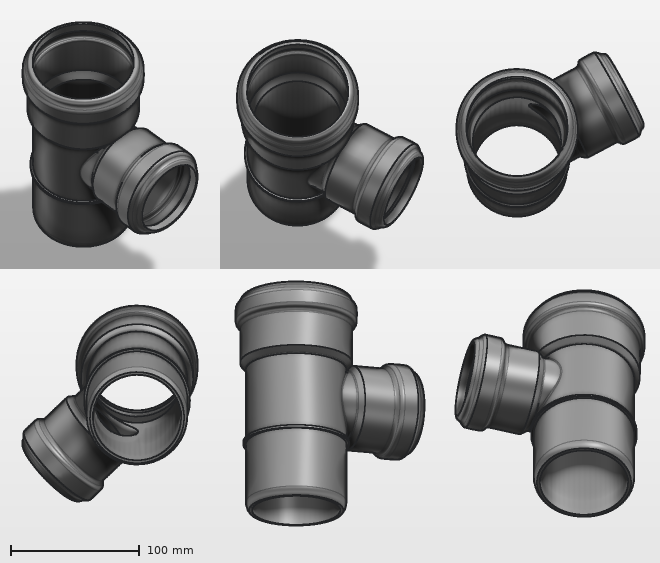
import cadquery as cq
import math

TOTAL_HEIGHT = 174.6
PIPE_RADIUS = 78.4 / 2
PIPE_BORE_RADIUS = 68.6 / 2
SPIGOT_TIP_RADIUS = 36.7
SPIGOT_TIP_HEIGHT = 6.8
SPIGOT_ARC_BULGE = 0.7
SHOULDER_BOTTOM = 115.8
SOCKET_RADIUS = 87.3 / 2
SOCKET_BORE_RADIUS = 78.7 / 2
BEAD_RADIUS = 94.8 / 2
CROWN_DEPTH = 9.0
CROWN_LENGTH = 9.8
LIP_LENGTH = 3.1

RING_RADIUS = 82.4 / 2
RING_BOTTOM = 54.3
RING_THICKNESS = 2.0

BRANCH_TILT = 2.5
BRANCH_AXIS_HEIGHT = 88.0
BRANCH_LENGTH = 95.7
BRANCH_SHOULDER_START = 39.1
NECK_RADIUS = 58.5 / 2
NECK_BORE_RADIUS = 49.5 / 2
BRANCH_SOCKET_RADIUS = 66.2 / 2
BRANCH_SOCKET_BORE_RADIUS = 58.8 / 2
BRANCH_BEAD_RADIUS = 74.5 / 2
BRANCH_CROWN_DEPTH = 8.0
BRANCH_CROWN_LENGTH = 11.5
BRANCH_LIP_LENGTH = 2.6
JUNCTION_FILLET = 1.4
JUNCTION_FILLET_TOP = 111.7

SHOULDER_LENGTH = 5.4
SHOULDER_BLEND_RISE = 0.5
SHOULDER_BLEND_LENGTH = 1.0
BEAD_ROOT_LENGTH = 6.8
CROWN_BULGE = 0.2
BLEND_BULGE = 0.2
GROOVE_STEP = 1.0
GROOVE_UPPER_SLOPE = 3.1
GROOVE_SHELF_OFFSET = 2.1
GROOVE_LOWER_SLOPE = 3.1


def midpoint(first, second, push=0.0):
    """Point halfway between two points, pushed equally along both coordinates."""
    return ((first[0] + second[0]) / 2 + push, (first[1] + second[1]) / 2 + push)


def revolve_about_z(profile):
    return profile.close().revolve(360, (0, 0, 0), (0, 1, 0))


def socket_outside(start_radius, shoulder, socket_radius, bore_radius, bead_radius, crown, lip_length, mouth):
    """Solid about Z: start wall, shoulder, socket wall, bead and rounded lip."""
    crown_start, crown_end = crown
    crown_edge = bead_radius - CROWN_BULGE
    shoulder_blend = (start_radius + SHOULDER_BLEND_RISE, shoulder + SHOULDER_BLEND_LENGTH)
    root = (socket_radius, crown_start - BEAD_ROOT_LENGTH)
    bead_bottom = (crown_edge, crown_start)
    bead_top = (crown_edge, crown_end)
    lip_start = (socket_radius, mouth - lip_length)
    neck_middle = midpoint(bead_top, lip_start)

    wall = socket_radius - bore_radius
    lip_radius = (wall**2 + lip_length**2) / (2 * lip_length)
    half_angle = math.asin(wall / lip_radius) / 2
    lip_middle = (
        bore_radius + lip_radius * math.sin(half_angle),
        mouth - lip_radius * (1 - math.cos(half_angle)),
    )

    profile = (
        cq.Workplane("XZ")
        .lineTo(start_radius, 0)
        .lineTo(start_radius, shoulder)
        .tangentArcPoint(shoulder_blend, relative=False)
        .lineTo(socket_radius, shoulder + SHOULDER_LENGTH)
        .lineTo(*root)
        .tangentArcPoint(midpoint(root, bead_bottom), relative=False)
        .tangentArcPoint(bead_bottom, relative=False)
        .threePointArc((bead_radius, (crown_start + crown_end) / 2), bead_top)
        .threePointArc(midpoint(bead_top, neck_middle, BLEND_BULGE), neck_middle)
        .threePointArc(midpoint(neck_middle, lip_start, -BLEND_BULGE), lip_start)
        .threePointArc(lip_middle, (bore_radius, mouth))
        .lineTo(0, mouth)
    )
    return revolve_about_z(profile)


def socket_inside(start_radius, shoulder, bore_radius, groove_radius, crown, mouth):
    """Cavity about Z: bore, tapered seat, socket bore and the seal groove under the bead."""
    crown_start, crown_end = crown
    groove_top = crown_end + GROOVE_STEP
    shelf_top = (groove_radius, crown_start + GROOVE_SHELF_OFFSET)
    shelf_bottom = (bore_radius, shelf_top[1] - GROOVE_LOWER_SLOPE)
    shelf_middle = midpoint(shelf_bottom, shelf_top)
    profile = (
        cq.Workplane("XZ")
        .lineTo(start_radius, 0)
        .lineTo(start_radius, shoulder)
        .lineTo(bore_radius, shoulder + SHOULDER_LENGTH)
        .lineTo(*shelf_bottom)
        .tangentArcPoint(shelf_middle, relative=False)
        .tangentArcPoint(shelf_top, relative=False)
        .lineTo(groove_radius, groove_top - GROOVE_UPPER_SLOPE)
        .lineTo(bore_radius, groove_top)
        .lineTo(bore_radius, mouth)
        .lineTo(0, mouth)
    )
    return revolve_about_z(profile)


def place_branch(body):
    """Lay a body built along Z onto the tilted branch axis."""
    return body.rotate((0, 0, 0), (0, 1, 0), 90 - BRANCH_TILT).translate((0, 0, BRANCH_AXIS_HEIGHT))


def main_pipe():
    """Main pipe wall below its shoulder, with the rounded spigot tip."""
    tip = (SPIGOT_TIP_RADIUS, 0)
    wall_start = (PIPE_RADIUS, SPIGOT_TIP_HEIGHT)
    tip_middle = midpoint(tip, wall_start)
    profile = (
        cq.Workplane("XZ")
        .lineTo(*tip)
        .threePointArc((tip_middle[0] + SPIGOT_ARC_BULGE, tip_middle[1]), wall_start)
        .lineTo(PIPE_RADIUS, TOTAL_HEIGHT - CROWN_DEPTH)
        .lineTo(0, TOTAL_HEIGHT - CROWN_DEPTH)
    )
    return revolve_about_z(profile)


def filleted_junction():
    """Lower part of the main pipe and branch neck, filleted along their saddle curve."""
    neck = cq.Workplane("XY").circle(NECK_RADIUS).extrude(BRANCH_SHOULDER_START + SHOULDER_LENGTH)
    joined = main_pipe().union(place_branch(neck))
    saddle = joined.edges("%BSPLINE")
    below_top = cq.Workplane("XY").rect(2 * BRANCH_LENGTH, 2 * BEAD_RADIUS).extrude(JUNCTION_FILLET_TOP)
    return saddle.fillet(JUNCTION_FILLET).intersect(below_top)


main_crown_end = TOTAL_HEIGHT - CROWN_DEPTH
main_crown = (main_crown_end - CROWN_LENGTH, main_crown_end)
main_wall = SOCKET_RADIUS - SOCKET_BORE_RADIUS
main_socket = socket_outside(
    PIPE_RADIUS,
    SHOULDER_BOTTOM,
    SOCKET_RADIUS,
    SOCKET_BORE_RADIUS,
    BEAD_RADIUS,
    main_crown,
    LIP_LENGTH,
    TOTAL_HEIGHT,
)
below_shoulder = cq.Workplane("XY").circle(BEAD_RADIUS).extrude(SHOULDER_BOTTOM)
main_socket = main_socket.cut(below_shoulder)
main_cavity = socket_inside(
    PIPE_BORE_RADIUS,
    SHOULDER_BOTTOM,
    SOCKET_BORE_RADIUS,
    BEAD_RADIUS - main_wall,
    main_crown,
    TOTAL_HEIGHT,
)

branch_crown_end = BRANCH_LENGTH - BRANCH_CROWN_DEPTH
branch_crown = (branch_crown_end - BRANCH_CROWN_LENGTH, branch_crown_end)
branch_wall = BRANCH_SOCKET_RADIUS - BRANCH_SOCKET_BORE_RADIUS
branch = socket_outside(
    NECK_RADIUS,
    BRANCH_SHOULDER_START,
    BRANCH_SOCKET_RADIUS,
    BRANCH_SOCKET_BORE_RADIUS,
    BRANCH_BEAD_RADIUS,
    branch_crown,
    BRANCH_LIP_LENGTH,
    BRANCH_LENGTH,
)
branch_cavity = socket_inside(
    NECK_BORE_RADIUS,
    BRANCH_SHOULDER_START,
    BRANCH_SOCKET_BORE_RADIUS,
    BRANCH_BEAD_RADIUS - branch_wall,
    branch_crown,
    BRANCH_LENGTH,
)

stop_ring = cq.Workplane("XY").workplane(offset=RING_BOTTOM).circle(RING_RADIUS).extrude(RING_THICKNESS)

result = (
    main_pipe()
    .union(main_socket)
    .union(place_branch(branch))
    .union(filleted_junction())
    .union(stop_ring)
    .cut(main_cavity)
    .cut(place_branch(branch_cavity))
)